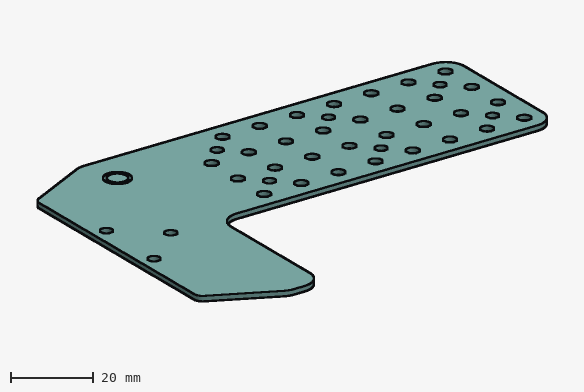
import cadquery as cq

thickness = 1.5
total_width = 88.0
total_height = 130.0
strip_width = total_width / 2
arm_height = 30.0
foot_cut_width = 10.0
foot_cut_height = 20.0
corner_radius = 5.5
foot_corner_radius = 2.5

grid_pitch = 11.0
grid_columns = 4
grid_rows = 8
grid_margin = grid_pitch / 2
grid_hole_diameter = 3.45

mount_hole_diameter = 3.2
mount_columns = 2
mount_rows = 3
mount_column_pitch = 2 * grid_pitch
mount_row_pitch = 3 * grid_pitch

foot_hole_diameter = 3.2
foot_hole_spacing = 20.0
foot_hole_low_y = 4.0
foot_hole_high_y = 16.0

ring_x = 10.4
ring_y = 23.9
ring_outer_diameter = 7.0
ring_inner_diameter = 5.3
ring_depth = 0.1


def make_plate():
    """Flat L-shaped plate with sloped foot ends and rounded corners."""
    foot_right_x = total_width - foot_cut_width
    plate = (
        cq.Workplane("XY")
        .moveTo(foot_cut_width, 0)
        .lineTo(foot_right_x, 0)
        .lineTo(total_width, foot_cut_height)
        .lineTo(total_width, arm_height)
        .lineTo(strip_width, arm_height)
        .lineTo(strip_width, total_height)
        .lineTo(0, total_height)
        .lineTo(0, foot_cut_height)
        .close()
        .extrude(thickness)
    )
    main_corners = [
        (0, total_height),
        (strip_width, total_height),
        (strip_width, arm_height),
        (total_width, arm_height),
        (total_width, foot_cut_height),
        (0, foot_cut_height),
    ]
    foot_corners = [(foot_cut_width, 0), (foot_right_x, 0)]
    plate = round_corners(plate, main_corners, corner_radius)
    return round_corners(plate, foot_corners, foot_corner_radius)


def round_corners(plate, corners, radius):
    """Fillet the upright edge at each outline corner."""
    for x, y in corners:
        edge = cq.selectors.NearestToPointSelector((x, y, thickness / 2))
        plate = plate.edges("|Z").edges(edge).fillet(radius)
    return plate


def drill(plate, points, diameter):
    """Drill through holes at the given points."""
    cutters = cq.Workplane("XY").pushPoints(points).circle(diameter / 2).extrude(thickness)
    return plate.cut(cutters)


def grid_points():
    """Full grid except the lowest hole of the first column."""
    points = []
    for column in range(grid_columns):
        rows = grid_rows - 1 if column == 0 else grid_rows
        for row in range(rows):
            x = grid_margin + column * grid_pitch
            y = total_height - grid_margin - row * grid_pitch
            points.append((x, y))
    return points


def mount_points():
    """Points at the centres of grid squares."""
    points = []
    for column in range(mount_columns):
        for row in range(mount_rows):
            x = grid_pitch + column * mount_column_pitch
            y = total_height - grid_pitch - row * mount_row_pitch
            points.append((x, y))
    return points


def foot_points():
    """One upper hole and two lower holes."""
    centre_x = total_width / 2
    return [
        (centre_x, foot_hole_high_y),
        (centre_x - foot_hole_spacing / 2, foot_hole_low_y),
        (centre_x + foot_hole_spacing / 2, foot_hole_low_y),
    ]


def cut_ring(plate):
    """Cut the ring groove into the top face."""
    ring = (
        cq.Workplane("XY", origin=(ring_x, ring_y, thickness - ring_depth))
        .circle(ring_outer_diameter / 2)
        .circle(ring_inner_diameter / 2)
        .extrude(ring_depth)
    )
    return plate.cut(ring)


plate = make_plate()
plate = drill(plate, grid_points(), grid_hole_diameter)
plate = drill(plate, mount_points(), mount_hole_diameter)
plate = drill(plate, foot_points(), foot_hole_diameter)
result = cut_ring(plate)